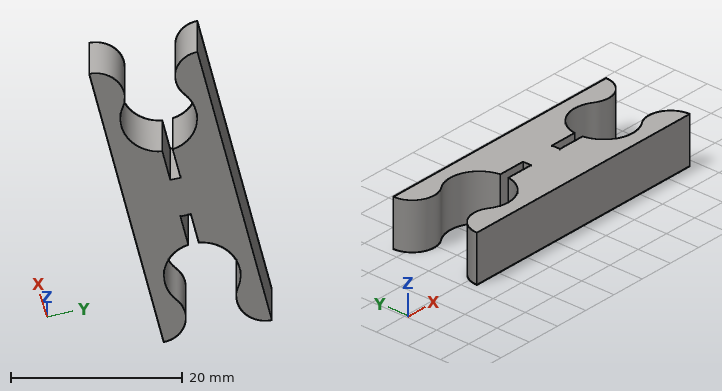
import cadquery as cq
import math

length = 37.7
width = 13.0
height = 7.0

socket_radius = 4.5
lip_radius = 3.4
slot_width = 1.25
slot_web = 5.13

half_length = length / 2
half_width = width / 2
half_slot = slot_width / 2

lip_x = half_length - lip_radius
center_distance = socket_radius + lip_radius
socket_x = lip_x - math.sqrt(center_distance**2 - half_width**2)
tangent_angle = math.atan2(half_width, lip_x - socket_x)
slot_mouth_angle = math.pi - math.asin(half_slot / socket_radius)


def socket_point(angle):
    """Point on the +X socket wall, with the angle measured from +X."""
    return (
        socket_x + socket_radius * math.cos(angle),
        socket_radius * math.sin(angle),
    )


def lip_point(angle):
    """Point on the lip at the +X, +Y corner."""
    return (
        lip_x + lip_radius * math.cos(angle),
        half_width + lip_radius * math.sin(angle),
    )


def quarter_body():
    """The +X, +Y quarter of the double clip."""
    lip_end_angle = tangent_angle - math.pi
    return (
        cq.Workplane("XY")
        .workplane(offset=-height / 2)
        .lineTo(0, half_width)
        .lineTo(half_length, half_width)
        .threePointArc(lip_point(lip_end_angle / 2), socket_point(tangent_angle))
        .threePointArc(
            socket_point((tangent_angle + slot_mouth_angle) / 2),
            socket_point(slot_mouth_angle),
        )
        .lineTo(slot_web / 2, half_slot)
        .lineTo(slot_web / 2, 0)
        .close()
        .extrude(height)
    )


quarter = quarter_body()
half = quarter.union(quarter.mirror("XZ"))
result = half.union(half.mirror("YZ")).clean()